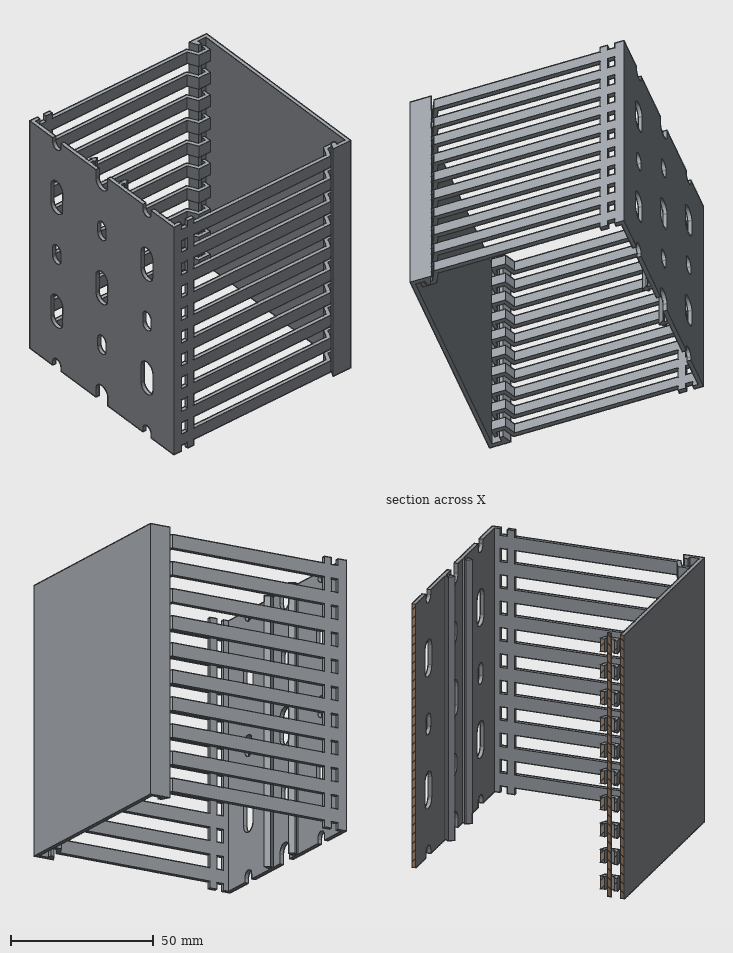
import cadquery as cq
width = 80.0
depth = 80.0
length = 100.0
wall = 1.5

back = -depth / 2
front = depth / 2
side = width / 2

slant = 0.5
lip_reach = 3.3
lip_top_depth = 5.0
lip_end_depth = 8.0
hook_inner = 4.0
hook_outer = hook_inner + wall
hook_top_depth = 2.7
tongue_thickness = 1.2
tongue_start = 2.2
bend_depth = 9.0
bend_thickness = 1.7

finger_pitch = 10.0
opening_height = 5.0
finger_root = 9.0
window_bottom = 3.5
window_top = 6.2

slot_pitch = 25.0
large_slot = (14.0, 6.5)
small_slot = (8.0, 4.5)

ridge_offset = 8.4
ridge_stem_width = 1.2
ridge_barb_width = 2.4
ridge_barb_root = 2.8
ridge_barb_bottom = 2.4
ridge_barb_top = 3.0
ridge_height = 4.9


def mirrored_profile(half_points):
    """Extrude along Z the closed outline of a half profile and its mirror image in X."""
    other_half = [(-x, y) for x, y in reversed(half_points)]
    outline = cq.Workplane("XY").polyline(half_points + other_half).close()
    return outline.extrude(length / 2, both=True)


def span_box(x_size, y_min, y_max, z_size, z_center):
    """Box centred on X that spans the given Y range."""
    y_center = (y_min + y_max) / 2
    return cq.Workplane("XY").box(x_size, y_max - y_min, z_size).translate((0, y_center, z_center))


def duct_channel():
    """U-shaped channel whose side walls end in inward hooks."""
    bend_inner = bend_depth + bend_thickness
    return mirrored_profile([
        (-side, back),
        (-side, front - bend_depth),
        (-side + hook_inner, front - bend_depth + slant * hook_inner),
        (-side + hook_inner, front - hook_top_depth - tongue_thickness),
        (-side + tongue_start, front - hook_top_depth - tongue_thickness),
        (-side + tongue_start, front - hook_top_depth),
        (-side + hook_outer, front - hook_top_depth),
        (-side + hook_outer, front - bend_inner + slant * hook_outer),
        (-side + wall, front - bend_inner + slant * wall),
        (-side + wall, back + wall),
    ])


def barbed_ridge(x_center):
    """Arrow-shaped ridge that runs the full length of the base."""
    stem = ridge_stem_width / 2
    barb = ridge_barb_width / 2
    outline = [
        (-stem, back + wall),
        (-stem, back + ridge_barb_root),
        (-barb, back + ridge_barb_bottom),
        (-barb, back + ridge_barb_top),
        (0, back + ridge_height),
        (barb, back + ridge_barb_top),
        (barb, back + ridge_barb_bottom),
        (stem, back + ridge_barb_root),
        (stem, back + wall),
    ]
    ridge = cq.Workplane("XY").polyline(outline).close().extrude(length / 2, both=True)
    return ridge.translate((x_center, 0, 0))


def side_openings():
    """Open-ended gaps and small windows through both side walls, at every finger gap."""
    gap_count = round(length / finger_pitch) + 1
    openings = cq.Workplane("XY")
    for i in range(gap_count):
        z = -length / 2 + i * finger_pitch
        gap = span_box(width, back + finger_root, front, opening_height, z)
        window = span_box(width, back + window_bottom, back + window_top, opening_height, z)
        openings = openings.add(gap).add(window)
    return openings


def mounting_slots():
    """Large and small slots alternating over a square grid; the end rows are cut in half."""
    slots = cq.Workplane("XY")
    for column in range(-1, 2):
        for row in range(-2, 3):
            slot_length, slot_width = large_slot if (column + row) % 2 == 0 else small_slot
            slot = (
                cq.Workplane("XZ", origin=(column * slot_pitch, back, row * slot_pitch))
                .slot2D(slot_length, slot_width, 90)
                .extrude(-wall)
            )
            slots = slots.add(slot)
    return slots


def make_duct():
    duct = duct_channel()
    for cutter in side_openings().vals() + mounting_slots().vals():
        duct = duct.cut(cq.Workplane(cutter))
    for x_center in (-ridge_offset, ridge_offset):
        duct = duct.union(barbed_ridge(x_center))
    return duct


def make_cover():
    """Flat cover with two short sides, each ending in an inward lip."""
    return mirrored_profile([
        (-side, front),
        (-side, front - lip_end_depth),
        (-side + lip_reach, front - lip_end_depth + slant * lip_reach),
        (-side + lip_reach, front - lip_top_depth),
        (-side + wall, front - lip_top_depth),
        (-side + wall, front - wall),
    ])


duct = make_duct()
cover = make_cover()
result = cq.Compound.makeCompound([duct.val(), cover.val()])